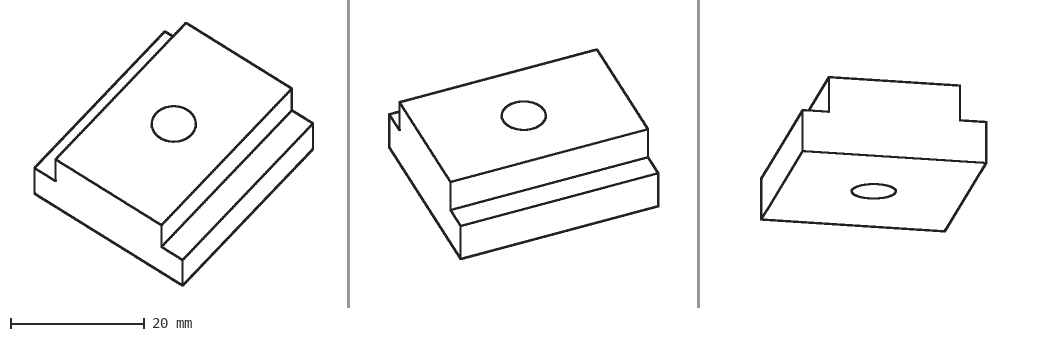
import cadquery as cq

length = 32.0
total_height = 12.0

base_width = 28.0
base_height = 6.5
neck_width = 20.0
neck_height = total_height - base_height

hole_diameter = 6.6


def make_base():
    """Wide flange resting on Z = 0, centred in X and Y."""
    return cq.Workplane("XY").box(base_width, length, base_height, centered=(True, True, False))


def add_neck(body):
    """Full-length raised neck, leaving an equal shoulder on each side."""
    neck = (
        cq.Workplane("XY")
        .workplane(offset=base_height)
        .box(neck_width, length, neck_height, centered=(True, True, False))
    )
    return body.union(neck)


def cut_hole(body):
    """Plain hole through the full height at the centre."""
    return body.faces(">Z").workplane(origin=(0, 0, total_height)).hole(hole_diameter)


result = cut_hole(add_neck(make_base()))